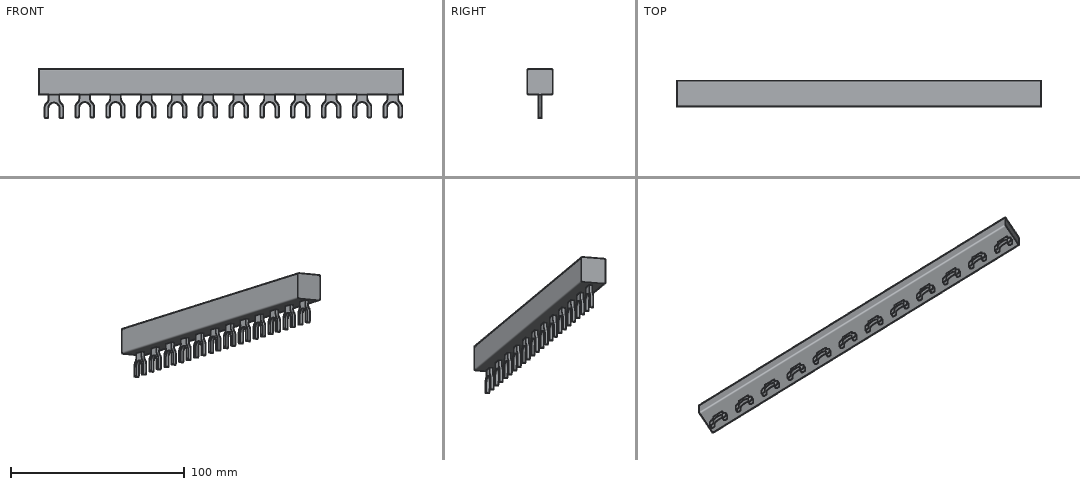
import cadquery as cq

bar_length = 210.0
bar_side = 15.0
bar_edge_radius = 1.0

overall_height = 28.5
fork_count = 12
first_fork_inset = 8.6
last_fork_inset = 5.9
fork_thickness = 1.9
fork_width = 11.0
stem_width = 6.3
stem_length = 2.5
stem_embed = 0.8
shoulder_drop = 5.0
slot_width = 6.3
slot_depth = 9.0
first_fork_drop = 0.32

bar_bottom = overall_height - bar_side
fork_height = bar_bottom + stem_embed
fork_span = bar_length - first_fork_inset - last_fork_inset
fork_pitch = fork_span / (fork_count - 1)
first_fork_x = -bar_length / 2 + first_fork_inset


def make_bar():
    """Square bar with its four long edges rounded."""
    bar = cq.Workplane("XY").workplane(offset=bar_bottom).box(
        bar_length, bar_side, bar_side, centered=(True, True, False)
    )
    return bar.edges("|X").fillet(bar_edge_radius)


def make_fork():
    """Flat two-pronged terminal centred on X = 0, with round prong tips at Z = 0."""
    half_stem = stem_width / 2
    half_fork = fork_width / 2
    half_slot = slot_width / 2
    shoulder_top = bar_bottom - stem_length
    shoulder_bottom = shoulder_top - shoulder_drop
    shoulder_middle = (shoulder_top + shoulder_bottom) / 2
    shoulder_middle_x = (half_stem + half_fork) / 2
    slot_spring = slot_depth - half_slot
    tip_radius = (half_fork - half_slot) / 2
    prong_x = half_slot + tip_radius
    outline = (
        cq.Workplane("XZ")
        .moveTo(-half_stem, fork_height)
        .lineTo(-half_stem, shoulder_top)
        .tangentArcPoint((-shoulder_middle_x, shoulder_middle), relative=False)
        .tangentArcPoint((-half_fork, shoulder_bottom), relative=False)
        .lineTo(-half_fork, tip_radius)
        .threePointArc((-prong_x, 0), (-half_slot, tip_radius))
        .lineTo(-half_slot, slot_spring)
        .threePointArc((0, slot_depth), (half_slot, slot_spring))
        .lineTo(half_slot, tip_radius)
        .threePointArc((prong_x, 0), (half_fork, tip_radius))
        .lineTo(half_fork, shoulder_bottom)
        .tangentArcPoint((shoulder_middle_x, shoulder_middle), relative=False)
        .tangentArcPoint((half_stem, shoulder_top), relative=False)
        .lineTo(half_stem, fork_height)
        .close()
    )
    return outline.extrude(fork_thickness / 2, both=True)


fork = make_fork()
result = make_bar()
for index in range(fork_count):
    fork_x = first_fork_x + index * fork_pitch
    tip_z = 0 if index == 0 else first_fork_drop
    result = result.union(fork.translate((fork_x, 0, tip_z)))